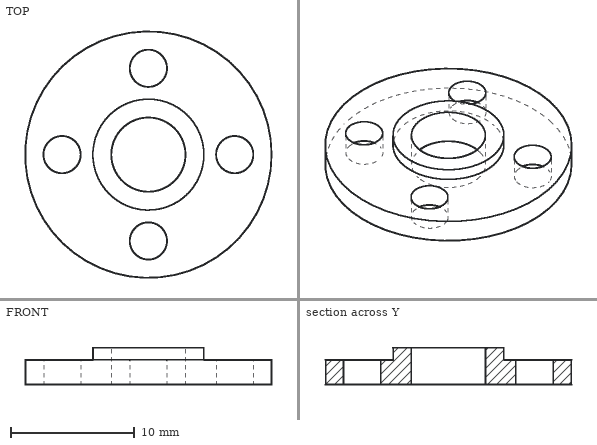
import cadquery as cq

disc_diameter = 20
disc_thickness = 2

hub_diameter = 9
hub_height = 1
bore_diameter = 6

bolt_hole_count = 4
bolt_hole_diameter = 3
bolt_circle_diameter = 14

disc = cq.Workplane("XY").circle(disc_diameter / 2).extrude(disc_thickness)

flange = disc.faces(">Z").workplane().circle(hub_diameter / 2).extrude(hub_height)

bored_flange = flange.faces(">Z").workplane().hole(bore_diameter)

result = (
    bored_flange.faces("<Z")
    .workplane()
    .polarArray(bolt_circle_diameter / 2, 0, 360, bolt_hole_count)
    .hole(bolt_hole_diameter)
)